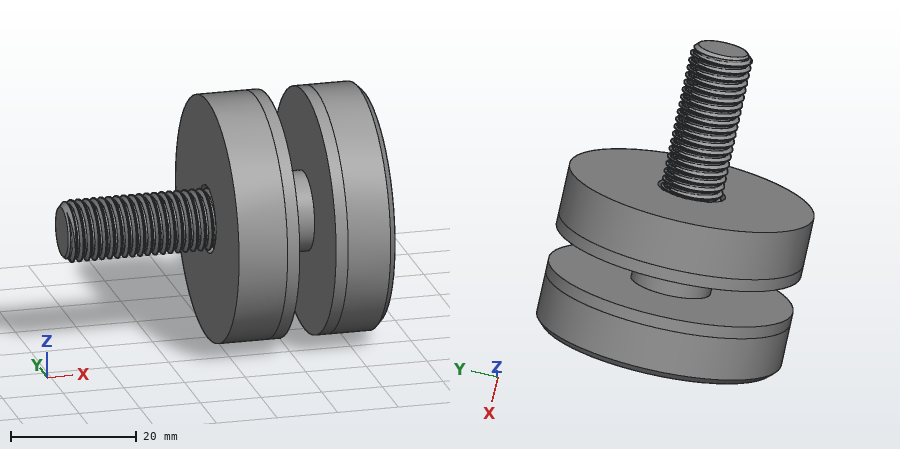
import cadquery as cq
import math

BASE_START = 24.0
DISC_THICKNESS = 8.0
WASHER_THICKNESS = 2.0
SLEEVE_LENGTH = 6.0
BASE_WASHER_START = BASE_START + DISC_THICKNESS
SLEEVE_START = BASE_WASHER_START + WASHER_THICKNESS
CAP_WASHER_START = SLEEVE_START + SLEEVE_LENGTH
CAP_START = CAP_WASHER_START + WASHER_THICKNESS

DISC_DIAMETER = 40.0
SLEEVE_DIAMETER = 13.0
STUD_DIAMETER = 10.0
BASE_BORE_DIAMETER = 11.0

CAP_CHAMFER = 1.0
STUD_CHAMFER = 1.0

PITCH = 1.25
FLANK_HALF_ANGLE = math.radians(30)
CREST_FLAT = PITCH / 8
ROOT_FLAT = PITCH / 4
THREAD_DEPTH = (PITCH - CREST_FLAT - ROOT_FLAT) / (2 * math.tan(FLANK_HALF_ANGLE))
TURNS = 37
STUD_LENGTH = TURNS * PITCH
CAP_SOCKET_DEPTH = STUD_LENGTH - CAP_START
THREAD_START_ANGLE = -112.0
FLANK_STEPS = 8


def rod(start, length, diameter):
    """Solid cylinder along +X that begins at x = start."""
    return cq.Workplane("YZ", origin=(start, 0, 0)).circle(diameter / 2).extrude(length)


def ring(start, length, outer_diameter, bore_diameter):
    """Cylinder along +X with a through bore."""
    return rod(start, length, outer_diameter).cut(rod(start, length, bore_diameter))


def polar_point(radius, angle):
    """Point of a section at the given angle in radians."""
    return (radius * math.cos(angle), radius * math.sin(angle))


def thread_turn():
    """First turn of the thread, made by twisting its cross-section once around.

    The section has a crest arc and a root arc, joined by two mirrored spirals for the flanks.
    """
    crest_radius = STUD_DIAMETER / 2
    root_radius = crest_radius - THREAD_DEPTH
    crest_half = math.pi * CREST_FLAT / PITCH
    root_half = math.pi * ROOT_FLAT / PITCH
    flank_sweep = math.pi - crest_half - root_half

    def falling_flank(t):
        return polar_point(crest_radius - THREAD_DEPTH * t, crest_half + flank_sweep * t)

    def rising_flank(t):
        y, z = falling_flank(1 - t)
        return (y, -z)

    section = (
        cq.Workplane("YZ")
        .moveTo(*polar_point(crest_radius, -crest_half))
        .threePointArc((crest_radius, 0), polar_point(crest_radius, crest_half))
        .parametricCurve(falling_flank, N=FLANK_STEPS, makeWire=False)
        .threePointArc((-root_radius, 0), rising_flank(0))
        .parametricCurve(rising_flank, N=FLANK_STEPS, makeWire=False)
        .close()
    )
    return section.twistExtrude(PITCH, 360).rotate((0, 0, 0), (1, 0, 0), THREAD_START_ANGLE)


def end_chamfer_cutter():
    """Ring with a conical inside that bevels the free end of the stud."""
    clear_radius = STUD_DIAMETER / 2 + STUD_CHAMFER
    return (
        cq.Workplane("XY")
        .moveTo(-STUD_CHAMFER, STUD_DIAMETER / 2 - 2 * STUD_CHAMFER)
        .lineTo(2 * STUD_CHAMFER, clear_radius)
        .lineTo(-STUD_CHAMFER, clear_radius)
        .close()
        .revolve(360, (0, 0, 0), (1, 0, 0))
    )


def make_stud():
    """Fully threaded stud with a bevelled free end.

    Every turn has the same end section, so the outer faces of the turns are sewn into one skin.
    """
    turn = thread_turn()
    skin = turn.cut(end_chamfer_cutter()).faces("not >X").vals()
    for index in range(1, TURNS):
        skin += turn.faces("not |X").translate((index * PITCH, 0, 0)).vals()
    skin += turn.faces(">X").translate((STUD_LENGTH - PITCH, 0, 0)).vals()
    return cq.Workplane(obj=cq.Solid.makeSolid(cq.Shell.makeShell(skin)))


def make_base_disc():
    """Base disc with a clearance bore around the thread."""
    return ring(BASE_START, DISC_THICKNESS, DISC_DIAMETER, BASE_BORE_DIAMETER)


def make_washer(start):
    """Thin washer as wide as the discs."""
    return ring(start, WASHER_THICKNESS, DISC_DIAMETER, STUD_DIAMETER)


def make_sleeve():
    """Spacer sleeve between the two washers."""
    return ring(SLEEVE_START, SLEEVE_LENGTH, SLEEVE_DIAMETER, STUD_DIAMETER)


def make_cap():
    """Cap with a chamfered outer rim and a blind socket for the stud."""
    disc = rod(CAP_START, DISC_THICKNESS, DISC_DIAMETER).faces(">X").chamfer(CAP_CHAMFER)
    return disc.cut(rod(CAP_START, CAP_SOCKET_DEPTH, STUD_DIAMETER))


stud = make_stud()
base_disc = make_base_disc()
washers = [make_washer(start) for start in (BASE_WASHER_START, CAP_WASHER_START)]
sleeve = make_sleeve()
cap = make_cap()

result = cq.Compound.makeCompound(
    [stud.val(), base_disc.val(), *[washer.val() for washer in washers], sleeve.val(), cap.val()]
)